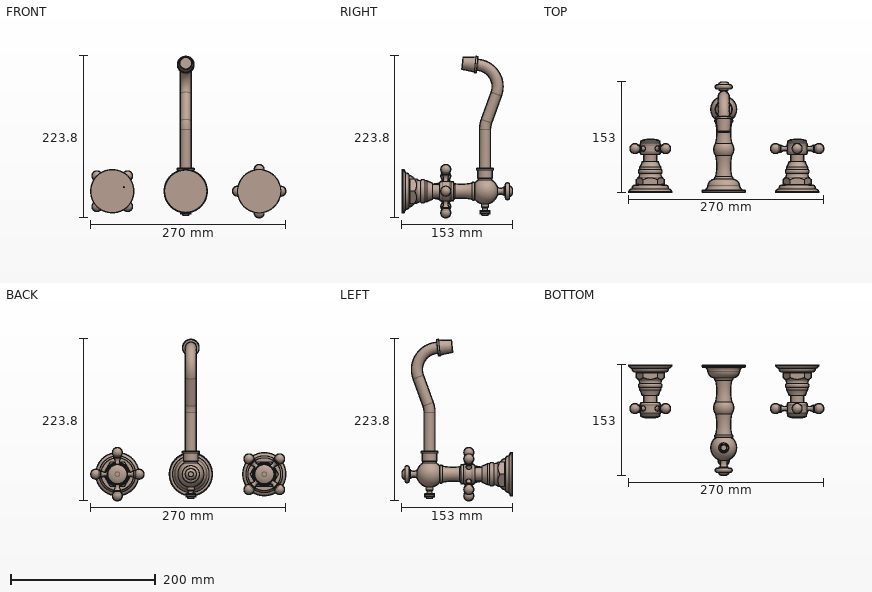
import cadquery as cq
import math


VALVE_SPACING = 101.5
FLANGE_RADIUS = 30.0
HANDLE_REACH = 37.0

FLANGE_RIM = 1.0
FLANGE_STEP_RADIUS = 25.5
FLANGE_STEP_HEIGHT = 4.9
FLANGE_TOP_RADIUS = 22.7
FLANGE_TOP = 10.0
FLANGE_BOW = 0.8

HEX_ACROSS_CORNERS = 39.2
HEX_BOTTOM = 11.0
HEX_TOP = 20.8
HEX_TOP_RADIUS = 16.2
HEX_BEVEL = 3.2

BONNET_RADIUS = 15.0
BONNET_BULGE_RADIUS = 16.5
BONNET_BULGE_START = 26.0
BONNET_BULGE_END = 31.5
BONNET_TAPER_START = 34.9
BONNET_TAPER_RADIUS = 14.5
BONNET_TOP_RADIUS = 11.3
BONNET_TOP = 42.5
GROOVE_BOW = 0.5
TAPER_BOW = 0.3
STEM_RADIUS = 9.2

HUB_BOTTOM = 52.1
HUB_RADIUS = 14.0
HUB_BOTTOM_RADIUS = 12.0
HUB_SIDE_START = 56.0
HUB_SIDE_END = 65.7
HUB_TOP = 71.0
HUB_BOW = 0.8
HUB_CAP_RADIUS = 13.2
HUB_CAP_START = 68.0
CAP_TIP_RADIUS = 3.2
CAP_TIP = 73.5
CAP_START_BOW = 0.3
CAP_BOW = 0.8

ARM_COUNT = 4
ARM_HEIGHT = 60.5
BALL_RADIUS = 7.0
BALL_CENTRE = HANDLE_REACH - BALL_RADIUS
ARM_ROOT_RADIUS = 4.0
ARM_ROOT = 13.5
ARM_NECK_RADIUS = 3.0
ARM_NECK = 17.5
ARM_COLLAR_RADIUS = 5.0
ARM_COLLAR_START = 22.5
ARM_COLLAR_END = 24.0
BALL_STUB_RADIUS = 4.3
BALL_JOINT_RADIUS = 5.7

PLATE_EDGE = 0.8
PLATE_THICKNESS = 3.5
COVE_RADIUS = 25.5
COVE_TOP_RADIUS = 22.2
COVE_TOP = 9.5
BELL_TOP_RADIUS = 12.7
BELL_TOP = 18.5
BELL_COLLAR_TOP = 21.5
COVE_BOW = 0.8
BELL_BOW = 2.2
BELL_COLLAR_BOW = 0.8
PIPE_END_RADIUS = 11.3
PIPE_WAIST_RADIUS = 9.7
KNUCKLE_RADIUS = 14.0
KNUCKLE_CENTRE = 59.5
KNUCKLE_HALF = math.sqrt(KNUCKLE_RADIUS ** 2 - PIPE_END_RADIUS ** 2)
RING_RADIUS = 12.7
RING_START = 97.0
RING_END = 100.5
GLOBE_RADIUS = 18.0
GLOBE_CENTRE = 114.8

FINIAL_ROOT = 131.9
FINIAL_ROOT_RADIUS = 5.5
FINIAL_NECK_RADIUS = 4.3
FINIAL_RING_START = 141.0
FINIAL_RING_RADIUS = 6.2
FINIAL_DISC_START = 143.0
FINIAL_DISC_END = 149.0
FINIAL_DISC_RADIUS = 12.0
FINIAL_DOME_RADIUS = 7.8
FINIAL_TIP_RADIUS = 3.5
FINIAL_TIP = 153.0
FINIAL_DOME_BOW = 0.5

DRAIN_ROOT_RADIUS = 5.0
DRAIN_ROOT_END = 21.5
DRAIN_NECK_RADIUS = 3.5
DRAIN_NECK_START = 23.0
DRAIN_DISC_START = 26.5
DRAIN_DISC_RADIUS = 7.0
DRAIN_GROOVE_RADIUS = 6.8
DRAIN_GROOVE_START = 28.5
DRAIN_GROOVE_END = 30.3
DRAIN_DISC_END = 31.5
DRAIN_TIP_RADIUS = 4.0
DRAIN_TIP = 33.8
DRAIN_EDGE = 0.8

SOCKET_NECK_RADIUS = 9.2
SOCKET_NECK_START = 14.5
SOCKET_NECK_END = 17.3
SOCKET_NECK_BOW = 0.3
SOCKET_RADIUS = 10.3
SOCKET_START = 18.0
SOCKET_RIM_RADIUS = 12.0
SOCKET_RIM_START = 29.2
SOCKET_TOP = 32.0
SOCKET_EDGE = 0.8

TUBE_RADIUS = 7.8
TUBE_UPRIGHT_TOP = 85.7
TUBE_LEAN = math.radians(20)
LEAN_BEND_RADIUS = 32.5
LEAN_LENGTH = 40.0
HOOK_RADIUS = 30.3
TUBE_TAIL = 1.4
NOZZLE_RISE = math.radians(6)
NOZZLE_RIM_RADIUS = 11.5
NOZZLE_RIM_THICKNESS = 2.7
NOZZLE_ROOT_RADIUS = 10.5
NOZZLE_TIP_RADIUS = 8.6
NOZZLE_LENGTH = 20.5
NOZZLE_EDGE = 0.5


def revolve_about_y(profile):
    """Turn a closed half profile, drawn as (radius, height), about the Y axis."""
    return profile.close().revolve(360, (0, 0, 0), (0, 1, 0))


def bow(start, end, height):
    """Middle point of an arc from start to end, height to the right of its chord.

    On a profile drawn upwards this is outwards; a negative height makes a hollow.
    """
    run = end[0] - start[0]
    rise = end[1] - start[1]
    chord = math.hypot(run, rise)
    return (
        (start[0] + end[0]) / 2 + height * rise / chord,
        (start[1] + end[1]) / 2 - height * run / chord,
    )



def valve_turned_parts():
    """Wall flange, bonnet, stem and domed hub, all round about the valve axis."""
    rim = (FLANGE_RADIUS, FLANGE_RIM)
    step = (FLANGE_STEP_RADIUS, FLANGE_STEP_HEIGHT)
    flange_top = (FLANGE_TOP_RADIUS, FLANGE_TOP)
    hex_top = (HEX_TOP_RADIUS, HEX_TOP)
    bulge_start = (BONNET_RADIUS, BONNET_BULGE_START)
    bulge_middle = (BONNET_BULGE_RADIUS, (BONNET_BULGE_START + BONNET_BULGE_END) / 2)
    taper_start = (BONNET_TAPER_RADIUS, BONNET_TAPER_START)
    bonnet_top = (BONNET_TOP_RADIUS, BONNET_TOP)
    hub_bottom = (HUB_BOTTOM_RADIUS, HUB_BOTTOM)
    hub_side_start = (HUB_RADIUS, HUB_SIDE_START)
    hub_side_end = (HUB_RADIUS, HUB_SIDE_END)
    cap_start = (HUB_CAP_RADIUS, HUB_CAP_START)
    hub_top = (HUB_CAP_RADIUS, HUB_TOP)
    cap_tip = (CAP_TIP_RADIUS, CAP_TIP)
    return revolve_about_y(
        cq.Workplane("XY")
        .lineTo(FLANGE_RADIUS, 0)
        .lineTo(*rim)
        .threePointArc(bow(rim, step, FLANGE_BOW), step)
        .threePointArc(bow(step, flange_top, FLANGE_BOW), flange_top)
        .lineTo(HEX_TOP_RADIUS, FLANGE_TOP)
        .lineTo(*hex_top)
        .threePointArc(bow(hex_top, bulge_start, -GROOVE_BOW), bulge_start)
        .threePointArc(bulge_middle, (BONNET_RADIUS, BONNET_BULGE_END))
        .lineTo(*taper_start)
        .threePointArc(bow(taper_start, bonnet_top, -TAPER_BOW), bonnet_top)
        .lineTo(STEM_RADIUS, BONNET_TOP)
        .lineTo(STEM_RADIUS, HUB_BOTTOM)
        .lineTo(*hub_bottom)
        .threePointArc(bow(hub_bottom, hub_side_start, HUB_BOW), hub_side_start)
        .lineTo(*hub_side_end)
        .threePointArc(bow(hub_side_end, cap_start, CAP_START_BOW), cap_start)
        .lineTo(*hub_top)
        .threePointArc(bow(hub_top, cap_tip, CAP_BOW), cap_tip)
        .lineTo(0, CAP_TIP)
    )


def hex_nut():
    """Hexagon with corners towards +X and -X; a cone bevels its outer edge."""
    corner = HEX_ACROSS_CORNERS / 2
    prism = (
        cq.Workplane("XZ", origin=(0, HEX_BOTTOM, 0))
        .polygon(6, HEX_ACROSS_CORNERS)
        .extrude(HEX_BOTTOM - HEX_TOP)
    )
    bevel = revolve_about_y(
        cq.Workplane("XY")
        .moveTo(0, HEX_BOTTOM)
        .lineTo(corner, HEX_BOTTOM)
        .lineTo(corner, HEX_TOP - HEX_BEVEL)
        .lineTo(HEX_TOP_RADIUS, HEX_TOP)
        .lineTo(0, HEX_TOP)
    )
    return prism.intersect(bevel)


def handle_arm():
    """One arm with its ball, along +X from the hub's axis."""
    joint = BALL_CENTRE - math.sqrt(BALL_RADIUS ** 2 - BALL_JOINT_RADIUS ** 2)
    ball_top = (BALL_CENTRE, BALL_RADIUS)
    arm = (
        cq.Workplane("XY")
        .lineTo(0, ARM_ROOT_RADIUS)
        .lineTo(ARM_ROOT, ARM_ROOT_RADIUS)
        .threePointArc((ARM_NECK, ARM_NECK_RADIUS), (ARM_COLLAR_START, ARM_COLLAR_RADIUS))
        .lineTo(ARM_COLLAR_END, ARM_COLLAR_RADIUS)
        .lineTo(ARM_COLLAR_END, BALL_STUB_RADIUS)
        .lineTo(joint, BALL_JOINT_RADIUS)
        .threePointArc(ball_top, (HANDLE_REACH, 0))
        .close()
        .revolve(360, (0, 0, 0), (1, 0, 0))
    )
    return arm.translate((0, ARM_HEIGHT, 0))


def valve(x, handle_angle):
    """One valve at X = x with its cross handle turned by handle_angle degrees."""
    body = valve_turned_parts().union(hex_nut())
    arm = handle_arm()
    for i in range(ARM_COUNT):
        angle = handle_angle + i * 360 / ARM_COUNT
        body = body.union(arm.rotate((0, 0, 0), (0, 1, 0), angle))
    return body.translate((x, 0, 0))



def spout_column():
    """Wall plate, bell, two waisted pipes around a ball knuckle, and a ring."""
    cove_start = (COVE_RADIUS, PLATE_THICKNESS)
    cove_top = (COVE_TOP_RADIUS, COVE_TOP)
    bell_top = (BELL_TOP_RADIUS, BELL_TOP)
    bell_collar_top = (PIPE_END_RADIUS, BELL_COLLAR_TOP)
    knuckle_start = KNUCKLE_CENTRE - KNUCKLE_HALF
    knuckle_end = KNUCKLE_CENTRE + KNUCKLE_HALF
    return revolve_about_y(
        cq.Workplane("XY")
        .lineTo(FLANGE_RADIUS - PLATE_EDGE, 0)
        .lineTo(FLANGE_RADIUS, PLATE_EDGE)
        .lineTo(FLANGE_RADIUS, PLATE_THICKNESS - PLATE_EDGE)
        .lineTo(FLANGE_RADIUS - PLATE_EDGE, PLATE_THICKNESS)
        .lineTo(*cove_start)
        .threePointArc(bow(cove_start, cove_top, -COVE_BOW), cove_top)
        .threePointArc(bow(cove_top, bell_top, BELL_BOW), bell_top)
        .threePointArc(bow(bell_top, bell_collar_top, BELL_COLLAR_BOW), bell_collar_top)
        .threePointArc((PIPE_WAIST_RADIUS, (BELL_COLLAR_TOP + knuckle_start) / 2),
                       (PIPE_END_RADIUS, knuckle_start))
        .threePointArc((KNUCKLE_RADIUS, KNUCKLE_CENTRE), (PIPE_END_RADIUS, knuckle_end))
        .threePointArc((PIPE_WAIST_RADIUS, (knuckle_end + RING_START) / 2),
                       (PIPE_END_RADIUS, RING_START))
        .threePointArc((RING_RADIUS, (RING_START + RING_END) / 2), (PIPE_END_RADIUS, RING_END))
        .lineTo(PIPE_END_RADIUS, GLOBE_CENTRE)
        .lineTo(0, GLOBE_CENTRE)
    )


def finial():
    """Waisted neck, ring, rounded disc and dome beyond the globe."""
    disc_middle = (FINIAL_DISC_START + FINIAL_DISC_END) / 2
    dome_start = (FINIAL_DOME_RADIUS, FINIAL_DISC_END)
    tip = (FINIAL_TIP_RADIUS, FINIAL_TIP)
    neck_middle = (FINIAL_ROOT + FINIAL_RING_START) / 2
    return revolve_about_y(
        cq.Workplane("XY")
        .moveTo(0, GLOBE_CENTRE)
        .lineTo(FINIAL_ROOT_RADIUS, GLOBE_CENTRE)
        .lineTo(FINIAL_ROOT_RADIUS, FINIAL_ROOT)
        .threePointArc((FINIAL_NECK_RADIUS, neck_middle), (FINIAL_ROOT_RADIUS, FINIAL_RING_START))
        .lineTo(FINIAL_RING_RADIUS, FINIAL_RING_START)
        .lineTo(FINIAL_RING_RADIUS, FINIAL_DISC_START)
        .lineTo(FINIAL_DOME_RADIUS, FINIAL_DISC_START)
        .threePointArc((FINIAL_DISC_RADIUS, disc_middle), dome_start)
        .threePointArc(bow(dome_start, tip, FINIAL_DOME_BOW), tip)
        .lineTo(0, FINIAL_TIP)
    )


def revolve_about_tube_axis(profile):
    """Turn a closed (radius, Z) half profile about the upright tube's axis."""
    return profile.close().revolve(360, (0, 0, 0), (0, 1, 0)).translate((0, GLOBE_CENTRE, 0))


def drain_knob():
    """Small knob with a grooved disc, hanging under the globe."""
    return revolve_about_tube_axis(
        cq.Workplane("XZ")
        .lineTo(DRAIN_ROOT_RADIUS, 0)
        .lineTo(DRAIN_ROOT_RADIUS, -DRAIN_ROOT_END)
        .lineTo(DRAIN_NECK_RADIUS, -DRAIN_NECK_START)
        .lineTo(DRAIN_NECK_RADIUS, -DRAIN_DISC_START)
        .lineTo(DRAIN_DISC_RADIUS - DRAIN_EDGE, -DRAIN_DISC_START)
        .lineTo(DRAIN_DISC_RADIUS, -DRAIN_DISC_START - DRAIN_EDGE)
        .lineTo(DRAIN_DISC_RADIUS, -DRAIN_GROOVE_START)
        .lineTo(DRAIN_GROOVE_RADIUS, -DRAIN_GROOVE_START)
        .lineTo(DRAIN_GROOVE_RADIUS, -DRAIN_GROOVE_END)
        .lineTo(DRAIN_DISC_RADIUS, -DRAIN_GROOVE_END)
        .lineTo(DRAIN_DISC_RADIUS, -DRAIN_DISC_END)
        .lineTo(DRAIN_TIP_RADIUS + DRAIN_EDGE, -DRAIN_DISC_END)
        .lineTo(DRAIN_TIP_RADIUS, -DRAIN_TIP)
        .lineTo(0, -DRAIN_TIP)
    )


def tube_socket():
    """Necked and rimmed socket that carries the tube on top of the globe."""
    neck_start = (SOCKET_RADIUS, SOCKET_NECK_START)
    neck_end = (SOCKET_NECK_RADIUS, SOCKET_NECK_END)
    return revolve_about_tube_axis(
        cq.Workplane("XZ")
        .lineTo(SOCKET_RADIUS, 0)
        .lineTo(*neck_start)
        .threePointArc(bow(neck_start, neck_end, -SOCKET_NECK_BOW), neck_end)
        .lineTo(SOCKET_RADIUS, SOCKET_START)
        .lineTo(SOCKET_RADIUS, SOCKET_RIM_START)
        .lineTo(SOCKET_RIM_RADIUS, SOCKET_RIM_START)
        .lineTo(SOCKET_RIM_RADIUS, SOCKET_TOP - SOCKET_EDGE)
        .lineTo(SOCKET_RIM_RADIUS - SOCKET_EDGE, SOCKET_TOP)
        .lineTo(0, SOCKET_TOP)
    )


def on_circle(centre, radius, angle):
    """Point (Y, Z) on a circle; the angle is measured from +Y towards +Z."""
    return (centre[0] + radius * math.cos(angle), centre[1] + radius * math.sin(angle))


def gooseneck():
    """Upright tube that leans back, hooks over towards -Y and ends in a nozzle."""
    lean_centre = (GLOBE_CENTRE + LEAN_BEND_RADIUS, TUBE_UPRIGHT_TOP)
    lean_middle = on_circle(lean_centre, LEAN_BEND_RADIUS, math.pi - TUBE_LEAN / 2)
    lean_start = on_circle(lean_centre, LEAN_BEND_RADIUS, math.pi - TUBE_LEAN)
    lean_end = on_circle(lean_start, LEAN_LENGTH, math.pi / 2 - TUBE_LEAN)
    hook_centre = on_circle(lean_end, HOOK_RADIUS, math.pi - TUBE_LEAN)
    hook_last = math.pi / 2 - NOZZLE_RISE
    hook_middle = on_circle(hook_centre, HOOK_RADIUS, (hook_last - TUBE_LEAN) / 2)
    hook_end = on_circle(hook_centre, HOOK_RADIUS, hook_last)
    tail_end = on_circle(hook_end, TUBE_TAIL, math.pi - NOZZLE_RISE)

    path = (
        cq.Workplane("YZ")
        .moveTo(GLOBE_CENTRE, 0)
        .lineTo(GLOBE_CENTRE, TUBE_UPRIGHT_TOP)
        .threePointArc(lean_middle, lean_start)
        .lineTo(*lean_end)
        .threePointArc(hook_middle, hook_end)
        .lineTo(*tail_end)
    )
    tube = cq.Workplane("XY", origin=(0, GLOBE_CENTRE, 0)).circle(TUBE_RADIUS).sweep(path)
    return tube.union(nozzle(tail_end))


def nozzle(start):
    """Rimmed cone outlet, centred on the tube's end at start = (Y, Z)."""
    outlet = revolve_about_y(
        cq.Workplane("XY")
        .lineTo(NOZZLE_RIM_RADIUS, 0)
        .lineTo(NOZZLE_RIM_RADIUS, -NOZZLE_RIM_THICKNESS)
        .lineTo(NOZZLE_ROOT_RADIUS, -NOZZLE_RIM_THICKNESS)
        .lineTo(NOZZLE_TIP_RADIUS, -NOZZLE_LENGTH + NOZZLE_EDGE)
        .lineTo(NOZZLE_TIP_RADIUS - NOZZLE_EDGE, -NOZZLE_LENGTH)
        .lineTo(0, -NOZZLE_LENGTH)
    )
    tilted = outlet.rotate((0, 0, 0), (1, 0, 0), -math.degrees(NOZZLE_RISE))
    return tilted.translate((0, *start))


def spout_body():
    """The whole spout as one solid, from wall plate to nozzle."""
    globe = cq.Workplane("XY").sphere(GLOBE_RADIUS).translate((0, GLOBE_CENTRE, 0))
    body = spout_column().union(globe)
    for piece in (finial(), drain_knob(), tube_socket(), gooseneck()):
        body = body.union(piece)
    return body



spout = spout_body()
valves = [valve(x, angle) for x, angle in ((-VALVE_SPACING, 45), (VALVE_SPACING, 0))]

result = cq.Compound.makeCompound([spout.val(), *[item.val() for item in valves]])